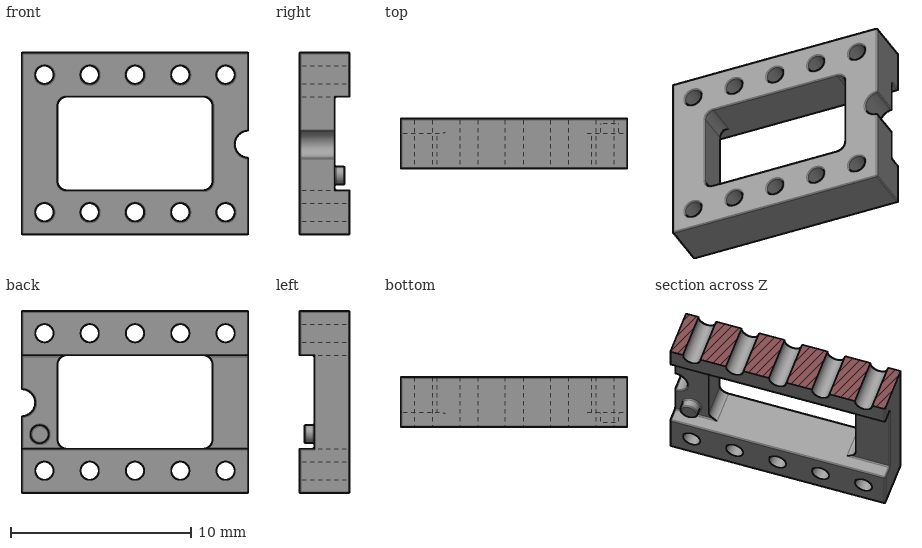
import cadquery as cq

LENGTH = 12.56
DEPTH = 2.79
HEIGHT = 10.1

EDGE_RADIUS = 0.07

WINDOW_LENGTH = 8.58
WINDOW_HEIGHT = 5.17
WINDOW_CORNER_RADIUS = 0.5
CHANNEL_HEIGHT = WINDOW_HEIGHT
CHANNEL_DEPTH = 0.82

HOLES_PER_ROW = 5
HOLE_PITCH = 2.51
ROW_SPACING = 7.62
HOLE_DIAMETER = 1.0

NOTCH_RADIUS = 0.74
NOTCH_Z = -0.04

PEG_DIAMETER = 1.01
PEG_HEIGHT = 0.54
PEG_X = (LENGTH + WINDOW_LENGTH) / 4
PEG_Z = -1.78

FRONT_Y = -DEPTH / 2
BACK_Y = DEPTH / 2
CHANNEL_FLOOR_Y = BACK_Y - CHANNEL_DEPTH


def round_post(x, z, diameter, start_y, length):
    """Cylinder whose axis runs along +Y from start_y."""
    base = cq.Workplane("XZ", origin=(x, start_y, z))
    return base.circle(diameter / 2).extrude(-length)


def box_around(low, high):
    """Selector for the edges centred between two corners, with a small margin."""
    margin = EDGE_RADIUS / 4
    padded_low = tuple(value - margin for value in low)
    padded_high = tuple(value + margin for value in high)
    return cq.selectors.BoxSelector(padded_low, padded_high)


def channelled_block():
    channel = cq.Workplane("XY").box(LENGTH, CHANNEL_DEPTH, CHANNEL_HEIGHT)
    channel = channel.translate((0, BACK_Y - CHANNEL_DEPTH / 2, 0))
    return cq.Workplane("XY").box(LENGTH, DEPTH, HEIGHT).cut(channel)


def window():
    opening = cq.Workplane("XY").box(WINDOW_LENGTH, DEPTH, WINDOW_HEIGHT)
    return opening.edges("|Y").fillet(WINDOW_CORNER_RADIUS)


def cut_contact_holes(body):
    for column in range(HOLES_PER_ROW):
        x = (column - (HOLES_PER_ROW - 1) / 2) * HOLE_PITCH
        for z in (-ROW_SPACING / 2, ROW_SPACING / 2):
            body = body.cut(round_post(x, z, HOLE_DIAMETER, FRONT_Y, DEPTH))
    return body


def notch():
    return round_post(LENGTH / 2, NOTCH_Z, 2 * NOTCH_RADIUS, FRONT_Y, DEPTH)


def round_block(body):
    """Round the inner and outer edges along X, then the outlines of both ends."""
    for y, z in (
        (CHANNEL_FLOOR_Y, CHANNEL_HEIGHT / 2),
        (BACK_Y, CHANNEL_HEIGHT / 2),
        (BACK_Y, HEIGHT / 2),
        (FRONT_Y, HEIGHT / 2),
    ):
        for side in (-1, 1):
            body = body.edges(box_around((0, y, side * z), (0, y, side * z))).fillet(EDGE_RADIUS)
    return body.faces("<X or >X").edges().fillet(EDGE_RADIUS)


def round_front_rims(body):
    """Round the front rims of the window, the holes and the notch."""
    reach_x = LENGTH / 2 - 2 * EDGE_RADIUS
    reach_z = HEIGHT / 2 - 2 * EDGE_RADIUS
    rims = box_around((-reach_x, FRONT_Y, -reach_z), (reach_x, FRONT_Y, reach_z))
    return body.edges(rims).fillet(EDGE_RADIUS)


def add_peg(body):
    """Join the peg to the channel floor and round its tip and root."""
    post = round_post(PEG_X, PEG_Z, PEG_DIAMETER, CHANNEL_FLOOR_Y, PEG_HEIGHT)
    post = post.faces(">Y").edges().fillet(EDGE_RADIUS)
    root = box_around((PEG_X, CHANNEL_FLOOR_Y, PEG_Z), (PEG_X, CHANNEL_FLOOR_Y, PEG_Z))
    return body.union(post).edges("%CIRCLE").edges(root).fillet(EDGE_RADIUS)


block = round_block(channelled_block())
frame = cut_contact_holes(block.cut(window())).cut(notch())
result = add_peg(round_front_rims(frame))